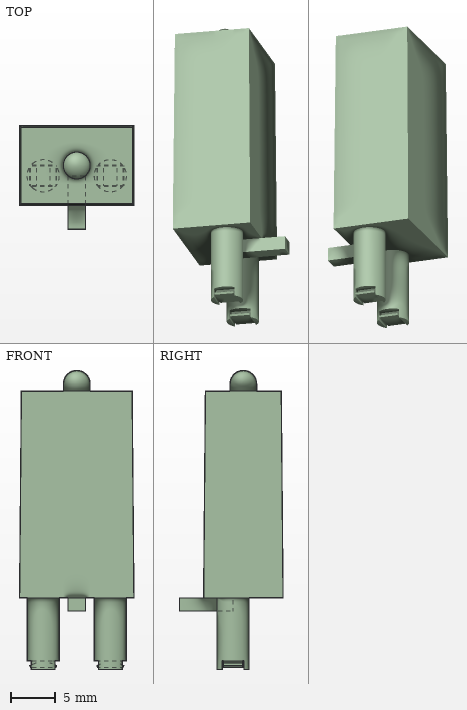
import cadquery as cq
import math

HOUSING_WIDTH = 12.8
HOUSING_DEPTH = 8.9
HOUSING_HEIGHT = 23.1
HOUSING_INSET = 0.2

LAMP_RADIUS = 1.5
LAMP_HEIGHT = 2.3

TAB_WIDTH = 2.0
TAB_HEIGHT = 1.5
TAB_OVERHANG = 2.7

PIN_RADIUS = 1.8
PIN_LENGTH = 8.03
PIN_PITCH = 7.5
PIN_Y = -1.15

SLOT_WIDTH = 2.4
SLOT_DEPTH = 1.0
SLOT_TOP_Z = SLOT_DEPTH - PIN_LENGTH

CONTACT_WIDTH = 2.2
CONTACT_NECK = 0.76
CONTACT_CREST = 1.5
CONTACT_TIP = 1.42
CONTACT_SHOULDER_Z = SLOT_TOP_Z - 0.24
CONTACT_CREST_Z = SLOT_TOP_Z - 0.54
CONTACT_BOTTOM_Z = SLOT_TOP_Z - 0.74


def make_housing():
    return (
        cq.Workplane("XY")
        .rect(HOUSING_WIDTH, HOUSING_DEPTH)
        .workplane(offset=HOUSING_HEIGHT)
        .rect(HOUSING_WIDTH - 2 * HOUSING_INSET, HOUSING_DEPTH - 2 * HOUSING_INSET)
        .loft(ruled=True)
    )


def make_lamp():
    """Lamp turned about the Z axis from its half profile."""
    dome_base = LAMP_HEIGHT - LAMP_RADIUS
    arc_offset = LAMP_RADIUS * math.cos(math.pi / 4)
    return (
        cq.Workplane("XZ", origin=(0, 0, HOUSING_HEIGHT))
        .lineTo(LAMP_RADIUS, 0)
        .lineTo(LAMP_RADIUS, dome_base)
        .threePointArc((arc_offset, dome_base + arc_offset), (0, LAMP_HEIGHT))
        .close()
        .revolve(360, (0, 0), (0, 1))
    )


def make_tab():
    """Bar under the housing, running from the pin axes out past the front face."""
    front_y = -HOUSING_DEPTH / 2 - TAB_OVERHANG
    length = PIN_Y - front_y
    return (
        cq.Workplane("XY", origin=(0, front_y + length / 2, 0))
        .rect(TAB_WIDTH, length)
        .extrude(-TAB_HEIGHT)
    )


def make_contact():
    """Block along X with a necked upper part and a V-shaped barb at each end."""
    right_end = [
        (CONTACT_NECK, SLOT_TOP_Z),
        (CONTACT_NECK, CONTACT_SHOULDER_Z),
        (CONTACT_CREST, CONTACT_CREST_Z),
        (CONTACT_TIP, CONTACT_BOTTOM_Z),
    ]
    left_end = [(-x, z) for x, z in reversed(right_end)]
    return (
        cq.Workplane("XZ")
        .polyline(right_end + left_end)
        .close()
        .extrude(CONTACT_WIDTH / 2, both=True)
    )


def make_pin(center_x):
    slot = (
        cq.Workplane("XY", origin=(0, 0, SLOT_TOP_Z))
        .rect(2 * PIN_RADIUS, SLOT_WIDTH)
        .extrude(-SLOT_DEPTH)
    )
    pin = cq.Workplane("XY").circle(PIN_RADIUS).extrude(-PIN_LENGTH)
    return pin.cut(slot).union(make_contact()).translate((center_x, PIN_Y, 0))


result = make_housing().union(make_lamp()).union(make_tab())
for side in (-1, 1):
    result = result.union(make_pin(side * PIN_PITCH / 2))